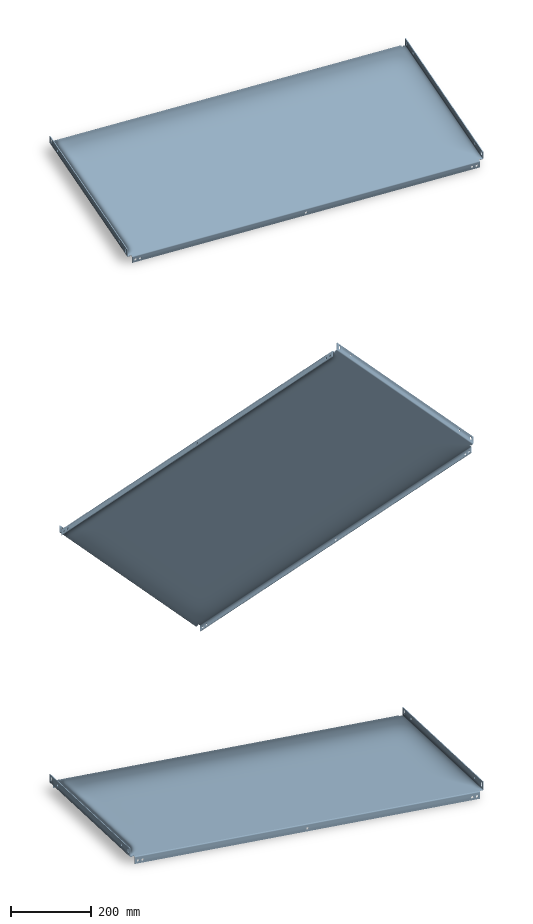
import math

import cadquery as cq

width = 498.0
length = 969.0
thickness = 2.0
bend_radius = 1.0
outer_radius = bend_radius + thickness

end_height = 24.0
side_height = 20.0
end_width = 486.0
side_length = 946.0

end_strip = 8.0
side_strip = 8.0

hole_diameter = 7.0
slot_length = 13.0
end_hole_x = 194.0
end_slot_x = 234.5
end_hole_drop = 11.0
side_hole_ys = (-464.0, -452.0, 0.0, 452.0, 464.0)
side_hole_rise = 8.0

panel_width = width - 2 * side_strip
panel_length = length - 2 * end_strip
side_bottom = thickness - side_height
end_hole_z = end_height - end_hole_drop
side_hole_z = side_bottom + side_hole_rise


def upturned_flange(strip, height, run):
    """Strip along +X that starts at X = 0 and is folded up at its end, centred on Y."""
    bend_x = strip - outer_radius
    diagonal = math.sqrt(0.5)

    def bend_middle(radius):
        return (bend_x + radius * diagonal, outer_radius - radius * diagonal)

    return (
        cq.Workplane("XZ")
        .lineTo(bend_x, 0)
        .threePointArc(bend_middle(outer_radius), (strip, outer_radius))
        .lineTo(strip, height)
        .lineTo(strip - thickness, height)
        .lineTo(strip - thickness, outer_radius)
        .threePointArc(bend_middle(bend_radius), (bend_x, thickness))
        .lineTo(0, thickness)
        .close()
        .extrude(run / 2, both=True)
    )


def end_flange():
    """Flange on the +Y end, folded up."""
    flange = upturned_flange(end_strip, end_height, end_width)
    return flange.rotate((0, 0, 0), (0, 0, 1), 90).translate((0, panel_length / 2, 0))


def side_flange():
    """Flange on the +X side, folded down."""
    flange = upturned_flange(side_strip, side_height, side_length)
    return flange.mirror("XY").translate((panel_width / 2, 0, thickness))


def end_flange_cutters():
    """Round holes and upright slots through both end flanges."""
    drilling = cq.Workplane("XZ").center(0, end_hole_z)
    holes = (
        drilling.pushPoints([(-end_hole_x, 0), (end_hole_x, 0)])
        .circle(hole_diameter / 2)
        .extrude(length, both=True)
    )
    slots = (
        drilling.pushPoints([(-end_slot_x, 0), (end_slot_x, 0)])
        .slot2D(slot_length, hole_diameter, 90)
        .extrude(length, both=True)
    )
    return holes.add(slots)


def side_flange_cutters():
    """Round holes through both side flanges."""
    return (
        cq.Workplane("YZ")
        .center(0, side_hole_z)
        .pushPoints([(y, 0) for y in side_hole_ys])
        .circle(hole_diameter / 2)
        .extrude(width, both=True)
    )


shelf = cq.Workplane("XY").rect(panel_width, panel_length).extrude(thickness)
for flange in (end_flange(), side_flange()):
    shelf = shelf.union(flange)
    shelf = shelf.union(flange.rotate((0, 0, 0), (0, 0, 1), 180))

for cutter in end_flange_cutters().vals() + side_flange_cutters().vals():
    shelf = shelf.cut(cq.Workplane(cutter))

result = shelf